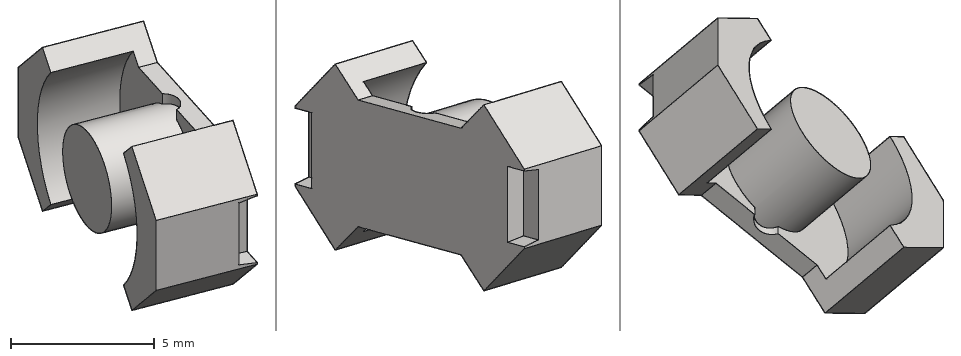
import cadquery as cq

length = 11.0
depth = 3.9
height = 6.75
front_y = -depth / 2
back_y = depth / 2

end_flat_height = 2.88
tip_x = 3.56
web_thickness = 0.73
web_height = 4.6
web_half_length = 2.46
web_front_y = back_y - web_thickness
winding_diameter = 7.94

pin_diameter = 3.9
groove_width = 1.14
groove_depth = 0.36
groove_radius = ((groove_width / 2) ** 2 + groove_depth ** 2) / (2 * groove_depth)

recess_reach = 0.7
recess_front_depth = 0.7
recess_back_height = 2.75
recess_front_height = 2.55
recess_draft = (recess_back_height - recess_front_height) / 2
recess_back_depth = recess_front_depth + recess_draft


def make_outline():
    """Extrude the bow-tie outline through the full depth."""
    right = [
        (web_half_length, web_height / 2),
        (tip_x, height / 2),
        (length / 2, end_flat_height / 2),
    ]
    lower_right = [(x, -z) for x, z in reversed(right)]
    left = [(-x, -z) for x, z in right + lower_right]
    profile = right + lower_right + left
    return cq.Workplane("XZ", origin=(0, back_y, 0)).polyline(profile).close().extrude(depth)


def make_cylinder(diameter, end_y):
    """Cylinder along Y from the front of the part to end_y."""
    plane = cq.Workplane("XZ", origin=(0, end_y, 0))
    return plane.circle(diameter / 2).extrude(end_y - front_y)


def make_groove():
    """Shallow round groove running along Z in the front of the web."""
    axis_y = web_front_y + groove_depth - groove_radius
    plane = cq.Workplane("XY", origin=(0, axis_y, -height / 2))
    return plane.circle(groove_radius).extrude(height)


def make_recess():
    """Pocket at the -X end, its floor and sides flaring out toward the back."""
    end_x = -length / 2
    recess_front_y = back_y - recess_reach
    block = (
        cq.Workplane("XY", origin=(0, 0, -recess_back_height / 2))
        .polyline([
            (end_x, recess_front_y),
            (end_x, back_y),
            (end_x + recess_back_depth, back_y),
            (end_x + recess_front_depth, recess_front_y),
        ])
        .close()
        .extrude(recess_back_height)
    )
    side_flare = (
        cq.Workplane("YZ", origin=(end_x, 0, 0))
        .polyline([
            (recess_front_y, -recess_front_height / 2),
            (back_y, -recess_back_height / 2),
            (back_y, recess_back_height / 2),
            (recess_front_y, recess_front_height / 2),
        ])
        .close()
        .extrude(recess_back_depth)
    )
    return block.intersect(side_flare)


body = make_outline().cut(make_cylinder(winding_diameter, web_front_y)).cut(make_groove())
recess = make_recess()
body = body.cut(recess).cut(recess.mirror("YZ"))
result = body.union(make_cylinder(pin_diameter, back_y))